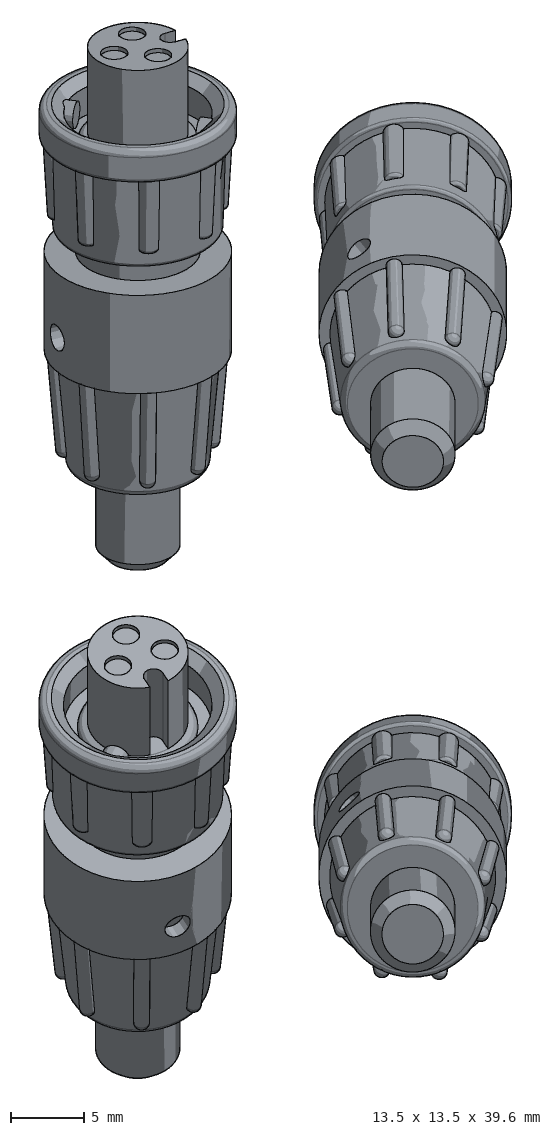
import cadquery as cq
import math

cable_chamfer_height = 0.87
lower_grip_bottom = 7.25
barrel_bottom = 16.05
barrel_top = 23.7
upper_grip_bottom = 25.55
collar_bottom = 32.6
collar_top = 35.1
insert_top = 39.57

cable_radius = 2.9
cable_end_radius = 2.1
lower_grip_bottom_radius = 4.9
lower_grip_top_radius = 5.65
barrel_radius = 6.4
neck_radius = 4.27
upper_grip_bottom_radius = 5.8
upper_grip_top_radius = 6.0
collar_diameter = 13.5
collar_radius = collar_diameter / 2
insert_radius = 3.45

lower_grip_fillet = 0.47
upper_grip_fillet = 0.25
collar_top_fillet = 0.5
collar_bottom_fillet = 0.25

rib_count = 8
rib_spacing = 360 / rib_count
lower_rib_radius = 0.55
lower_rib_top_offset = 5.7
lower_rib_end_offset = 5.1
lower_rib_end = 8.63
upper_rib_radius = 0.75
upper_rib_top_offset = 5.78
upper_rib_end_offset = 5.45
upper_rib_end = 26.75
upper_rib_end_fillet = 0.25

socket_mouth_radius = 5.9
socket_radius = 5.05
socket_cone_depth = 0.67
socket_floor = 32.25
shoulder_radius = 4.1
shoulder_fillet = shoulder_radius - insert_radius
shoulder_top = socket_floor + shoulder_fillet

lug_radius = 0.95
lug_height = 33.65
lug_inner_offset = 4.35
lug_outer_offset = (socket_radius + collar_radius) / 2
lug_angles = (45, 225)

contact_hole_diameter = 1.85
contact_hole_depth = 0.3
contact_circle_radius = 1.85
contact_angles = (18, 162, 270)
key_width = 1.4
key_radius = key_width / 2
key_centre_offset = 2.55

side_hole_radius = 0.95
side_hole_height = 18.68
side_hole_depth = 1.05


def tapered_section(bottom, top, bottom_radius, top_radius):
    """Solid of revolution about Z with straight or conical sides."""
    return (
        cq.Workplane("XZ")
        .polyline([(0, bottom), (bottom_radius, bottom), (top_radius, top), (0, top)])
        .close()
        .revolve(360, (0, 0), (0, 1))
    )


def radial_bar(radius, inner_offset, outer_offset, height, angle):
    """Round bar along a radius, at the given height and angle about Z."""
    heading = math.radians(angle)
    direction = cq.Vector(math.cos(heading), math.sin(heading), 0)
    start = direction * inner_offset + cq.Vector(0, 0, height)
    return cq.Workplane(
        cq.Solid.makeCylinder(radius, outer_offset - inner_offset, start, direction)
    )


def leaning_bar(radius, end_offset, end_height, top_offset, top_height):
    """Round bar in the XZ plane from its lower end up to its top."""
    start = cq.Vector(end_offset, 0, end_height)
    run = cq.Vector(top_offset, 0, top_height) - start
    return cq.Workplane(cq.Solid.makeCylinder(radius, run.Length, start, run))


def add_ribs(body, rib):
    """Join copies of a rib around Z, straddling the X and Y axes."""
    for index in range(rib_count):
        angle = (index + 0.5) * rib_spacing
        body = body.union(rib.rotate((0, 0, 0), (0, 0, 1), angle))
    return body


def make_lower_grip():
    grip = tapered_section(
        lower_grip_bottom, barrel_bottom, lower_grip_bottom_radius, lower_grip_top_radius
    )
    grip = grip.faces("<Z").edges().fillet(lower_grip_fillet)
    rib = leaning_bar(
        lower_rib_radius, lower_rib_end_offset, lower_rib_end, lower_rib_top_offset, barrel_bottom
    )
    round_end = (
        cq.Workplane().sphere(lower_rib_radius).translate((lower_rib_end_offset, 0, lower_rib_end))
    )
    return add_ribs(grip, rib.union(round_end))


def make_barrel():
    barrel = tapered_section(barrel_bottom, barrel_top, barrel_radius, barrel_radius)
    for angle in (90, 270):
        hole = radial_bar(
            side_hole_radius, barrel_radius - side_hole_depth, barrel_radius, side_hole_height, angle
        )
        barrel = barrel.cut(hole)
    return barrel


def make_coupling():
    """Upper grip with its ribs and the collar, bored out for the socket."""
    grip = tapered_section(
        upper_grip_bottom, collar_bottom, upper_grip_bottom_radius, upper_grip_top_radius
    )
    grip = grip.faces("<Z").edges().fillet(upper_grip_fillet)
    rib = leaning_bar(
        upper_rib_radius, upper_rib_end_offset, upper_rib_end, upper_rib_top_offset, collar_bottom
    )
    rib = rib.faces("<Z").edges().fillet(upper_rib_end_fillet)
    grip = add_ribs(grip, rib)

    collar = tapered_section(collar_bottom, collar_top, collar_radius, collar_radius)
    collar = collar.faces(">Z").edges().fillet(collar_top_fillet)
    collar = collar.faces("<Z").edges().fillet(collar_bottom_fillet)

    cone_bottom = collar_top - socket_cone_depth
    bore = tapered_section(socket_floor, cone_bottom, socket_radius, socket_radius)
    mouth = tapered_section(cone_bottom, collar_top, socket_radius, socket_mouth_radius)
    coupling = grip.union(collar).cut(bore).cut(mouth)
    for angle in lug_angles:
        coupling = coupling.union(
            radial_bar(lug_radius, lug_inner_offset, lug_outer_offset, lug_height, angle)
        )
    return coupling


def make_insert():
    """Contact insert on its rounded shoulder, with contact holes and a keyway."""
    fillet_middle = shoulder_fillet * math.sqrt(0.5)
    shoulder = (
        cq.Workplane("XZ")
        .moveTo(0, socket_floor)
        .lineTo(shoulder_radius, socket_floor)
        .threePointArc(
            (insert_radius + fillet_middle, socket_floor + fillet_middle),
            (insert_radius, shoulder_top),
        )
        .lineTo(0, shoulder_top)
        .close()
        .revolve(360, (0, 0), (0, 1))
    )
    insert = tapered_section(socket_floor, insert_top, insert_radius, insert_radius)

    contact_points = [
        (
            contact_circle_radius * math.cos(math.radians(angle)),
            contact_circle_radius * math.sin(math.radians(angle)),
        )
        for angle in contact_angles
    ]
    contact_holes = (
        cq.Workplane("XY", origin=(0, 0, insert_top - contact_hole_depth))
        .pushPoints(contact_points)
        .circle(contact_hole_diameter / 2)
        .extrude(contact_hole_depth)
    )
    keyway = (
        cq.Workplane("XY", origin=(0, 0, shoulder_top))
        .moveTo(-key_radius, insert_radius)
        .lineTo(-key_radius, key_centre_offset)
        .threePointArc((0, key_centre_offset - key_radius), (key_radius, key_centre_offset))
        .lineTo(key_radius, insert_radius)
        .close()
        .extrude(insert_top - shoulder_top)
    )
    return insert.cut(contact_holes).cut(keyway).union(shoulder)


cable = tapered_section(cable_chamfer_height, lower_grip_bottom, cable_radius, cable_radius)
cable_end = tapered_section(0, cable_chamfer_height, cable_end_radius, cable_radius)
neck = tapered_section(barrel_top, upper_grip_bottom, neck_radius, neck_radius)

result = (
    cable.union(cable_end)
    .union(make_lower_grip())
    .union(make_barrel())
    .union(neck)
    .union(make_coupling())
    .union(make_insert())
)